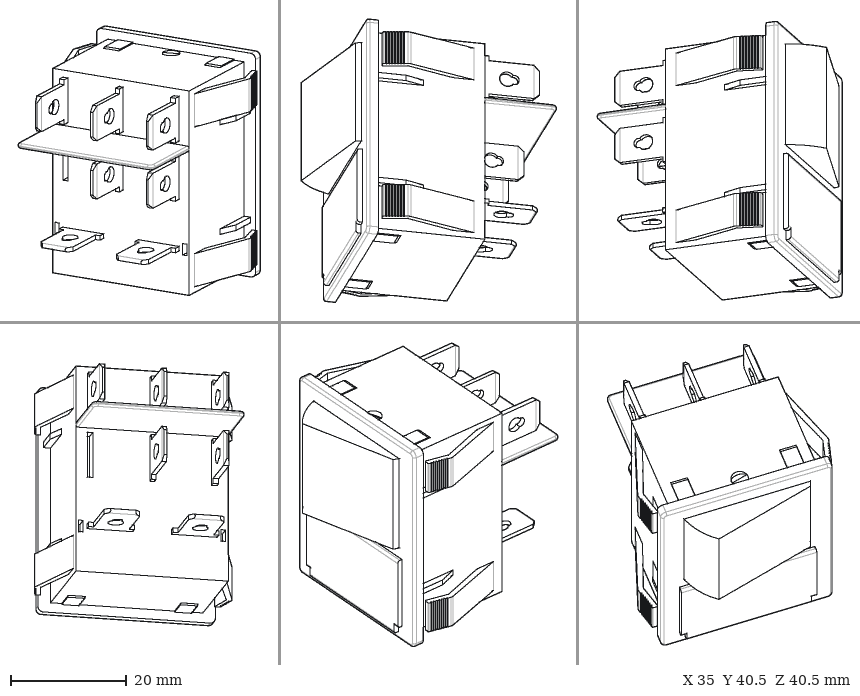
import cadquery as cq
import math


bezel_width = 31.5
bezel_height = 40.5
bezel_thickness = 2.05
bezel_corner_radius = 0.97
edge_radius = 0.5
housing_width = 27.0
housing_height = 37.0
housing_depth = 19.5
housing_side = housing_width / 2

barrier_length = 12.95
barrier_z = 7.98
barrier_root_thickness = 1.0
barrier_tip_thickness = 0.85
barrier_corner_radius = 0.97
barrier_edge_radius = 0.35

clip_width = 6.0
clip_z = 14.45
clip_knee_x = 17.55
clip_knee_y = -5.02
clip_knee_radius = 0.97
clip_root_y = -17.55
clip_inner_root_y = -13.8
clip_inner_knee_x = 16.5
clip_inner_knee_y = -5.05
clip_tip_x = 16.45
clip_tip_thickness = 1.05
clip_tip_y = -0.6
clip_tip_radius = 0.15
groove_count = 7
groove_pitch = 0.505
groove_width = 0.25
groove_depth = 0.25
first_groove_distance = 0.55

rib_thickness = 1.0
rib_height = 1.25
rib_flat_length = 5.15
rib_length = 8.5
rib_z = 9.92
pad_width = 3.05
pad_length = 5.02
pad_height = 0.2
pad_bevel = 0.5
pad_x = 10.0

rocker_radius = 12.25
rocker_face_distance = 7.55
rocker_hub_depth = 2.02
rocker_tilt = 15.0
rocker_width = 18.6
pivot_y = -1.75
pivot_pin_diameter = 3.0
pivot_pin_bevel = 1.0
pivot_hole_diameter = 3.05

blade_width = 6.3
blade_length = 10.33
shoulder_width = 8.1
shoulder_length = 1.25
blade_tip_length = 1.1
blade_tip_inset = 0.95
eye_diameter = 2.67
eye_distance = 4.5
eye_slot_diameter = 1.7
eye_slot_distance = 5.75
slot_depth = 2.45
outer_blade_thickness = 0.97
outer_tip_thickness = 0.32
thin_blade_thickness = 0.8
thin_tip_thickness = 0.5
column_spacing = 11.0
row_spacing = 10.55
switch_z = 7.9
lamp_terminal_x = 7.5
lamp_terminal_z = -10.33

latch_slot_width = 0.8
latch_slot_height = 2.05
latch_slot_x = 12.65

lens_width = 24.9
lens_top_z = -3.32
lens_bottom_z = -17.17
lens_thickness = 0.95
strip_bottom_z = -18.85
strip_inset = 1.0

rear_y = -housing_depth
upper_row_z = switch_z + row_spacing / 2
lower_row_z = switch_z - row_spacing / 2
pivot_pin_length = housing_height / 2 - switch_z - rocker_width / 2


def prism_z(outline, height, center_z):
    """Extrude a closed XY outline along Z, centred on center_z."""
    return outline.extrude(height / 2, both=True).translate((0, 0, center_z))


def both_sides(body):
    """Add the mirror image of a body across the X = 0 plane."""
    return body.union(body.mirror("YZ"))


def make_bezel():
    bezel = (
        cq.Workplane("XZ")
        .rect(bezel_width, bezel_height)
        .extrude(-bezel_thickness)
        .edges("|Y")
        .fillet(bezel_corner_radius)
    )
    return bezel.faces(">Y").edges().fillet(edge_radius)


def make_barrier():
    half_root = barrier_root_thickness / 2
    half_tip = barrier_tip_thickness / 2
    barrier = (
        cq.Workplane("YZ", origin=(0, rear_y, barrier_z))
        .polyline([
            (0, half_root),
            (-barrier_length, half_tip),
            (-barrier_length, -half_tip),
            (0, -half_root),
        ])
        .close()
        .extrude(housing_side, both=True)
    )
    free_edges = cq.selectors.BoxSelector(
        (-housing_width, rear_y - 2 * barrier_length, barrier_z - barrier_root_thickness),
        (housing_width, rear_y - barrier_length / 4, barrier_z + barrier_root_thickness),
    )
    barrier = barrier.faces("<Y").edges("|Z").fillet(barrier_corner_radius)
    return barrier.edges(free_edges).fillet(barrier_edge_radius)


def make_clip(center_z):
    """Bent spring arm on the +X side, with grooves across its outer face near the tip."""
    slope_angle = math.atan2(clip_knee_y - clip_tip_y, clip_knee_x - clip_tip_x)
    along = (math.cos(slope_angle), math.sin(slope_angle))
    inward = (along[1], -along[0])
    arm = prism_z(
        cq.Workplane("XY").polyline([
            (housing_side, clip_root_y),
            (clip_knee_x, clip_knee_y),
            (clip_tip_x, clip_tip_y),
            (clip_tip_x - clip_tip_thickness, clip_tip_y),
            (clip_inner_knee_x, clip_inner_knee_y),
            (housing_side, clip_inner_root_y),
        ]).close(),
        clip_width,
        center_z,
    )
    arm = arm.faces(">Y").edges("|Z").fillet(clip_tip_radius)
    arm = arm.edges(">X").fillet(clip_knee_radius)
    for index in range(groove_count):
        middle = first_groove_distance + index * groove_pitch
        start = middle - groove_width / 2
        end = middle + groove_width / 2
        notch = cq.Workplane("XY").polyline([
            (clip_tip_x + along[0] * start, clip_tip_y + along[1] * start),
            (clip_tip_x + along[0] * end, clip_tip_y + along[1] * end),
            (
                clip_tip_x + along[0] * middle + inward[0] * groove_depth,
                clip_tip_y + along[1] * middle + inward[1] * groove_depth,
            ),
        ]).close()
        arm = arm.cut(prism_z(notch, clip_width, center_z))
    return arm


def make_rib(center_z):
    """Guide rib on the +X side, running out into the housing wall."""
    outline = cq.Workplane("XY").polyline([
        (housing_side, 0),
        (housing_side + rib_height, 0),
        (housing_side + rib_height, -rib_flat_length),
        (housing_side, -rib_length),
    ]).close()
    return prism_z(outline, rib_thickness, center_z)


def make_pad():
    """Centring pad on the top face, bevelled at its rear end."""
    base_z = housing_height / 2
    return (
        cq.Workplane("YZ", origin=(pad_x, 0, 0))
        .polyline([
            (0, base_z),
            (0, base_z + pad_height),
            (pad_bevel - pad_length, base_z + pad_height),
            (-pad_length, base_z),
        ])
        .close()
        .extrude(pad_width / 2, both=True)
    )


def rear_slot(center_x, center_z, width, height):
    return cq.Workplane("XY").box(width, slot_depth, height).translate(
        (center_x, rear_y + slot_depth / 2, center_z)
    )


def make_housing():
    body = cq.Workplane("XZ").rect(housing_width, housing_height).extrude(housing_depth)
    body = body.union(make_bezel()).union(make_barrier())
    for side in (-1, 1):
        body = body.union(both_sides(make_clip(side * clip_z)))
        body = body.union(both_sides(make_rib(side * rib_z)))
    pads = both_sides(make_pad())
    body = body.union(pads).union(pads.mirror("XY"))

    body = body.cut(place_rocker(make_rocker_core()))
    pivot_hole = prism_z(
        cq.Workplane("XY").center(0, pivot_y).circle(pivot_hole_diameter / 2),
        rocker_width + 2 * pivot_pin_length,
        switch_z,
    )
    body = body.cut(pivot_hole)

    for column in (-1, 0, 1):
        thickness = outer_blade_thickness if column else thin_blade_thickness
        for row_z in (upper_row_z, lower_row_z):
            body = body.cut(rear_slot(column * column_spacing, row_z, thickness, shoulder_width))
    for side in (-1, 1):
        body = body.cut(
            rear_slot(side * lamp_terminal_x, lamp_terminal_z, shoulder_width, thin_blade_thickness)
        )
        body = body.cut(
            rear_slot(side * latch_slot_x, lamp_terminal_z, latch_slot_width, latch_slot_height)
        )
    return body


def make_rocker_core():
    """Level rocker around the pivot axis: a round body between a flat top and a flat underside."""
    top_half = math.sqrt(rocker_radius**2 - rocker_face_distance**2)
    bottom_half = math.sqrt(rocker_radius**2 - rocker_hub_depth**2)
    outline = (
        cq.Workplane("XY")
        .moveTo(-top_half, rocker_face_distance)
        .lineTo(top_half, rocker_face_distance)
        .threePointArc((rocker_radius, 0), (bottom_half, -rocker_hub_depth))
        .lineTo(-bottom_half, -rocker_hub_depth)
        .threePointArc((-rocker_radius, 0), (-top_half, rocker_face_distance))
        .close()
    )
    return prism_z(outline, rocker_width, 0)


def place_rocker(level_body):
    return level_body.rotate((0, 0, 0), (0, 0, 1), rocker_tilt).translate((0, pivot_y, switch_z))


def make_pivot_pin():
    """Pivot pin on the upper side, with its rear half bevelled for insertion."""
    base_z = rocker_width / 2
    end_z = base_z + pivot_pin_length
    radius = pivot_pin_diameter / 2
    pin = cq.Workplane("XY", origin=(0, 0, base_z)).circle(radius).extrude(pivot_pin_length)
    bevel = (
        cq.Workplane("YZ")
        .polyline([(0, end_z), (-radius, end_z), (-radius, end_z - pivot_pin_bevel)])
        .close()
        .extrude(radius, both=True)
    )
    return pin.cut(bevel)


def make_rocker():
    pin = make_pivot_pin()
    return place_rocker(make_rocker_core().union(pin).union(pin.mirror("XY")))


def make_lens_block(width, top_z, bottom_z):
    height = top_z - bottom_z
    block = cq.Workplane("XY").box(width, lens_thickness, height)
    block = block.faces(">Y").edges("|X").fillet(edge_radius)
    return block.translate((0, bezel_thickness + lens_thickness / 2, (top_z + bottom_z) / 2))


def make_lens():
    strip = make_lens_block(lens_width - 2 * strip_inset, lens_top_z, strip_bottom_z)
    return strip.union(make_lens_block(lens_width, lens_top_z, lens_bottom_z))


def rounded_plan():
    """Plan outline of a thin blade with a fully rounded tip."""
    half = thin_blade_thickness / 2
    round_start = half - blade_length
    return (
        cq.Workplane("XY")
        .moveTo(half, slot_depth)
        .lineTo(half, round_start)
        .threePointArc((0, -blade_length), (-half, round_start))
        .lineTo(-half, slot_depth)
        .close()
    )


def tapered_plan(thickness, tip_thickness):
    """Plan outline of a blade with a tapered, blunt tip."""
    half = thickness / 2
    half_tip = tip_thickness / 2
    taper_start = blade_tip_length - blade_length
    return cq.Workplane("XY").polyline([
        (half, slot_depth),
        (half, taper_start),
        (half_tip, -blade_length),
        (-half_tip, -blade_length),
        (-half, taper_start),
        (-half, slot_depth),
    ]).close()


def make_terminal(plan, thickness):
    """Upright blade pointing to -Y from Y = 0, with its root reaching into the slot."""
    half_blade = blade_width / 2
    half_shoulder = shoulder_width / 2
    half_tip = half_blade - blade_tip_inset
    upper_edge = [
        (slot_depth, half_shoulder),
        (-shoulder_length, half_shoulder),
        (-shoulder_length, half_blade),
        (blade_tip_length - blade_length, half_blade),
        (-blade_length, half_tip),
    ]
    lower_edge = [(y, -z) for y, z in reversed(upper_edge)]
    blade = (
        cq.Workplane("YZ")
        .polyline(upper_edge + lower_edge)
        .close()
        .extrude(thickness / 2, both=True)
    )

    blade = blade.intersect(prism_z(plan, shoulder_width, 0))

    for distance, diameter in ((eye_distance, eye_diameter), (eye_slot_distance, eye_slot_diameter)):
        hole = cq.Workplane("YZ").center(-distance, 0).circle(diameter / 2).extrude(thickness, both=True)
        blade = blade.cut(hole)
    return blade


def make_outer_terminal():
    plan = tapered_plan(outer_blade_thickness, outer_tip_thickness)
    return make_terminal(plan, outer_blade_thickness)


def make_middle_terminal():
    plan = tapered_plan(thin_blade_thickness, thin_tip_thickness)
    return make_terminal(plan, thin_blade_thickness)


def make_lamp_terminal():
    """Blade lying flat, with its broad faces up and down."""
    upright = make_terminal(rounded_plan(), thin_blade_thickness)
    return upright.rotate((0, 0, 0), (0, 1, 0), 90)


def make_switch_terminals():
    """Full upper row, and a lower row without its -X terminal."""
    terminals = []
    for row_z, columns in ((upper_row_z, (-1, 0, 1)), (lower_row_z, (0, 1))):
        for column in columns:
            blade = make_outer_terminal() if column else make_middle_terminal()
            terminals.append(blade.translate((column * column_spacing, rear_y, row_z)).val())
    return terminals


def make_lamp_terminals():
    terminals = []
    for side in (-1, 1):
        blade = make_lamp_terminal()
        terminals.append(blade.translate((side * lamp_terminal_x, rear_y, lamp_terminal_z)).val())
    return terminals


housing = make_housing()
rocker = make_rocker()
lens = make_lens()
switch_terminals = make_switch_terminals()
lamp_terminals = make_lamp_terminals()

result = cq.Compound.makeCompound([
    housing.val(),
    rocker.val(),
    lens.val(),
    *switch_terminals,
    *lamp_terminals,
])